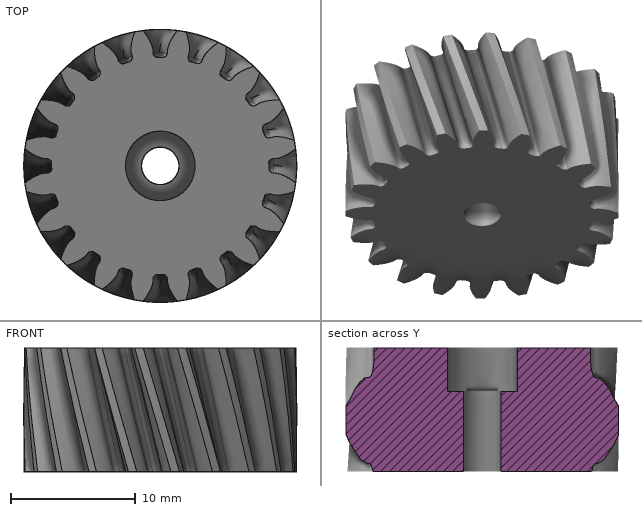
import cadquery as cq
import math


module = 1.0
tooth_count = 20
pressure_angle = math.radians(20)
helix_angle = math.radians(15)
face_width = 10.0
addendum = 1.0 * module
dedendum = 1.25 * module
root_fillet = 0.38 * module
bore_diameter = 3.0
counterbore_diameter = 5.6
counterbore_depth = 3.5
flank_intervals = 8

pitch_radius = module * tooth_count / 2
base_radius = pitch_radius * math.cos(pressure_angle)
tip_radius = pitch_radius + addendum
root_radius = pitch_radius - dedendum
tooth_pitch = 2 * math.pi / tooth_count
twist = face_width * math.tan(helix_angle) / pitch_radius

first_gap_angle = twist


def involute_angle(radius):
    """Polar angle swept by the involute between the base circle and a radius."""
    pressure = math.acos(base_radius / radius)
    return math.tan(pressure) - pressure


gap_half_angle = tooth_pitch / 4 - involute_angle(pitch_radius)

fillet_centre_radius = root_radius + root_fillet
fillet_offset_angle = math.asin(root_fillet / fillet_centre_radius)
fillet_centre_angle = gap_half_angle - fillet_offset_angle
fillet_top_radius = fillet_centre_radius * math.cos(fillet_offset_angle)


def polar(radius, angle):
    return (radius * math.cos(angle), radius * math.sin(angle))


def fillet_middle(gap_angle, side):
    """Middle point of the root fillet on one side (+1 or -1) of a gap."""
    centre_x, centre_y = polar(fillet_centre_radius, gap_angle + side * fillet_centre_angle)
    to_root = gap_angle + side * fillet_centre_angle + side * math.pi
    to_flank = gap_angle + side * gap_half_angle + side * math.pi / 2
    direction = (to_flank + to_root) / 2
    offset_x, offset_y = polar(root_fillet, direction)
    return (centre_x + offset_x, centre_y + offset_y)


def flank_points(gap_angle, side):
    """Flank points on one side of a gap: the radial foot, then the involute out to the tip."""
    foot = polar(fillet_top_radius, gap_angle + side * gap_half_angle)
    radii = [
        base_radius + (tip_radius - base_radius) * (step / flank_intervals) ** 2
        for step in range(flank_intervals + 1)
    ]
    involute = [polar(r, gap_angle + side * (gap_half_angle + involute_angle(r))) for r in radii]
    return [foot] + involute


def add_gap(outline, gap_angle):
    """Run the outline down one flank, across the root and up the other flank."""
    falling_flank = flank_points(gap_angle, -1)[::-1]
    rising_flank = flank_points(gap_angle, 1)
    return (
        outline.spline(falling_flank[1:], includeCurrent=True)
        .threePointArc(fillet_middle(gap_angle, -1), polar(root_radius, gap_angle - fillet_centre_angle))
        .threePointArc(polar(root_radius, gap_angle), polar(root_radius, gap_angle + fillet_centre_angle))
        .threePointArc(fillet_middle(gap_angle, 1), rising_flank[0])
        .spline(rising_flank[1:], includeCurrent=True)
    )


def gear_outline():
    outline = cq.Workplane("XY").moveTo(*flank_points(first_gap_angle, -1)[-1])
    for index in range(tooth_count):
        gap_angle = first_gap_angle + index * tooth_pitch
        outline = add_gap(outline, gap_angle)
        tip_middle = polar(tip_radius, gap_angle + tooth_pitch / 2)
        next_flank_tip = flank_points(gap_angle + tooth_pitch, -1)[-1]
        outline = outline.threePointArc(tip_middle, next_flank_tip)
    return outline.close()


def gear_body():
    return gear_outline().twistExtrude(face_width, -math.degrees(twist))


def stepped_bore():
    bore = cq.Workplane("XY").circle(bore_diameter / 2).extrude(face_width)
    counterbore = (
        cq.Workplane("XY")
        .workplane(offset=face_width - counterbore_depth)
        .circle(counterbore_diameter / 2)
        .extrude(counterbore_depth)
    )
    return bore.union(counterbore)


result = gear_body().cut(stepped_bore())